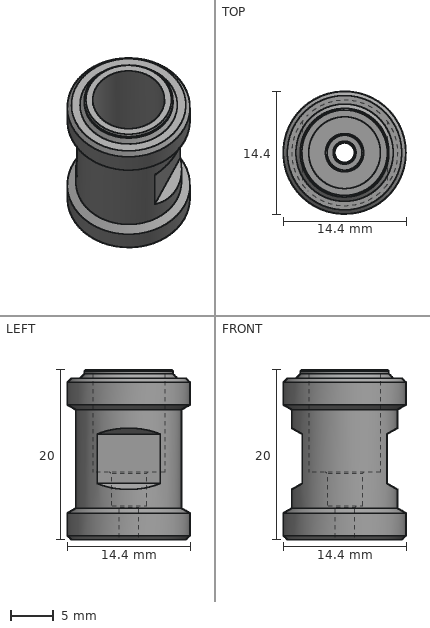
import cadquery as cq
import math

total_height = 20.0
collar_radius = 14.45 / 2
neck_radius = 12.45 / 2
collar_height = 3.72
collar_chamfer = 0.5
shoulder_angle = math.radians(30)

lip_radius = 10.45 / 2
lip_height = 1.0
lip_cone = 0.5
lip_edge_chamfer = 0.2

flat_distance = 5.0
flat_bottom = 6.62
flat_length = 5.8

bore_radius = 8.45 / 2
bore_depth = 12.0
recess_radius = 4.1 / 2
recess_depth = 4.0
hole_radius = 2.3 / 2
bore_edge_chamfer = 0.2

collar_top = total_height - lip_height
upper_collar_bottom = collar_top - collar_height
shoulder_height = (collar_radius - neck_radius) * math.tan(shoulder_angle)


def make_body():
    """Revolve the outer profile: two collars, the neck and the top lip."""
    chamfered_radius = collar_radius - collar_chamfer
    profile = [
        (0, 0),
        (chamfered_radius, 0),
        (collar_radius, collar_chamfer),
        (collar_radius, collar_height - shoulder_height),
        (neck_radius, collar_height),
        (neck_radius, upper_collar_bottom),
        (collar_radius, upper_collar_bottom + shoulder_height),
        (collar_radius, collar_top - collar_chamfer),
        (chamfered_radius, collar_top),
        (lip_radius + lip_cone, collar_top),
        (lip_radius, collar_top + lip_cone),
        (lip_radius, total_height - lip_edge_chamfer),
        (lip_radius - lip_edge_chamfer, total_height),
        (0, total_height),
    ]
    return cq.Workplane("XZ").polyline(profile).close().revolve(360, (0, 0), (0, 1))


def make_bore():
    """Revolve the stepped bore, with chamfers at the recess and hole mouths."""
    bore_floor = total_height - bore_depth
    recess_floor = bore_floor - recess_depth
    profile = [
        (0, 0),
        (hole_radius, 0),
        (hole_radius, recess_floor - bore_edge_chamfer),
        (hole_radius + bore_edge_chamfer, recess_floor),
        (recess_radius, recess_floor),
        (recess_radius, bore_floor - bore_edge_chamfer),
        (recess_radius + bore_edge_chamfer, bore_floor),
        (bore_radius, bore_floor),
        (bore_radius, total_height),
        (0, total_height),
    ]
    return cq.Workplane("XZ").polyline(profile).close().revolve(360, (0, 0), (0, 1))


def make_flat_cutter(side):
    """Trapezoidal prism removing one flat; side is -1 or +1 along X."""
    cut_depth = collar_radius - flat_distance
    end_rise = cut_depth * math.tan(shoulder_angle)
    flat_top = flat_bottom + flat_length
    profile = [
        (side * flat_distance, flat_bottom),
        (side * collar_radius, flat_bottom - end_rise),
        (side * collar_radius, flat_top + end_rise),
        (side * flat_distance, flat_top),
    ]
    return cq.Workplane("XZ").polyline(profile).close().extrude(collar_radius, both=True)


result = make_body().cut(make_bore())
for side in (-1, 1):
    result = result.cut(make_flat_cutter(side))